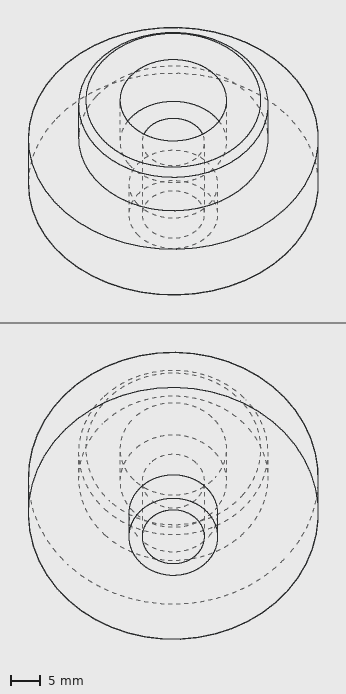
import cadquery as cq

flange_diameter = 49.0
flange_thickness = 12.0
boss_diameter = 32.0
boss_height = 10.0
boss_chamfer = 1.22
spigot_diameter = 15.0
spigot_length = 8.0
bore_diameter = 10.5
counterbore_diameter = 18.0
counterbore_depth = 11.0

top_z = flange_thickness + boss_height


def cylinder(diameter, height, base_z):
    """Upright cylinder centred on the Z axis."""
    return cq.Workplane("XY").workplane(offset=base_z).circle(diameter / 2).extrude(height)


flange = cylinder(flange_diameter, flange_thickness, 0)
boss = cylinder(boss_diameter, boss_height, flange_thickness).faces(">Z").chamfer(boss_chamfer)
spigot = cylinder(spigot_diameter, spigot_length, -spigot_length)
body = flange.union(boss).union(spigot)

bore = cylinder(bore_diameter, top_z + spigot_length, -spigot_length)
counterbore = cylinder(counterbore_diameter, counterbore_depth, top_z - counterbore_depth)

result = body.cut(bore).cut(counterbore)